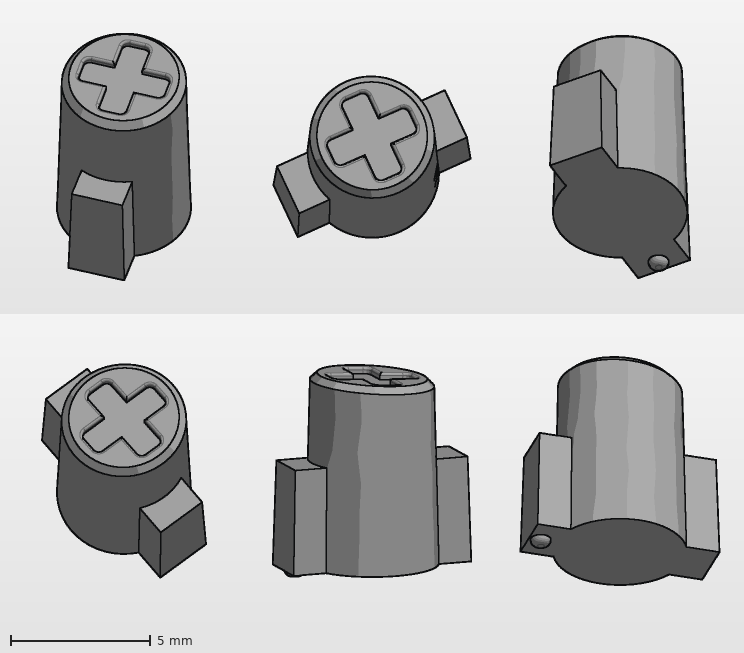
import cadquery as cq
import math

draft_angle = 1.5
base_diameter = 4.82
peak_height = 7.01

tilt_angle = 4.0
top_chamfer = 0.25

wing_span = 6.83
wing_width = 2.1
wing_height = 3.84

cross_length = 3.23
cross_arm_width = 1.03
cross_corner_radius = 0.23
cross_depth = 0.25
cross_rim_fillet = 0.1

foot_diameter = 0.74
foot_height = 0.25
foot_y = 2.98

tilt = math.radians(tilt_angle)
draft_slope = math.tan(math.radians(draft_angle))
base_radius = base_diameter / 2
peak_radius = base_radius - peak_height * draft_slope - top_chamfer
top_center_height = peak_height - peak_radius * math.tan(tilt)
blank_height = peak_height + base_radius

top_plane = cq.Plane(
    origin=(0, 0, top_center_height),
    xDir=(1, 0, 0),
    normal=(0, -math.sin(tilt), math.cos(tilt)),
)


def make_body():
    """Tapered round post, cut off by the slanted plane and chamfered there."""
    blank = cq.Workplane("XY").circle(base_radius).extrude(blank_height, taper=draft_angle)
    above_top = cq.Workplane(top_plane).rect(wing_span, wing_span).extrude(blank_height)
    body = blank.cut(above_top)
    return body.faces(">Z").edges().chamfer(top_chamfer)


def make_wings():
    """Single drafted block that passes through the body and forms both wings."""
    return cq.Workplane("XY").rect(wing_width, wing_span).extrude(wing_height, taper=draft_angle)


def make_foot():
    """Short foot, rooted in the wing, whose exposed height is all rounded edge."""
    foot = cq.Workplane("XY").workplane(offset=-foot_height).center(0, foot_y)
    foot = foot.circle(foot_diameter / 2).extrude(2 * foot_height)
    return foot.faces("<Z").edges().fillet(foot_height)


def make_cross_arm(length_x, length_y):
    """Rounded bar, sunk to the recess depth below the slanted plane."""
    arm = cq.Workplane(top_plane).rect(length_x, length_y).extrude(-cross_depth)
    corner_edges = arm.edges(cq.selectors.ParallelDirSelector(top_plane.zDir))
    return corner_edges.fillet(cross_corner_radius)


def cut_cross(part):
    """Sink the cross into the top and round over its rim."""
    cross = make_cross_arm(cross_length, cross_arm_width)
    cross = cross.union(make_cross_arm(cross_arm_width, cross_length))
    recessed = part.cut(cross)
    top_face = recessed.faces(cq.selectors.DirectionNthSelector(top_plane.zDir, -1)).val()
    rim_edges = top_face.innerWires()[0].Edges()
    return recessed.newObject(rim_edges).fillet(cross_rim_fillet)


result = cut_cross(make_body()).union(make_wings()).union(make_foot())